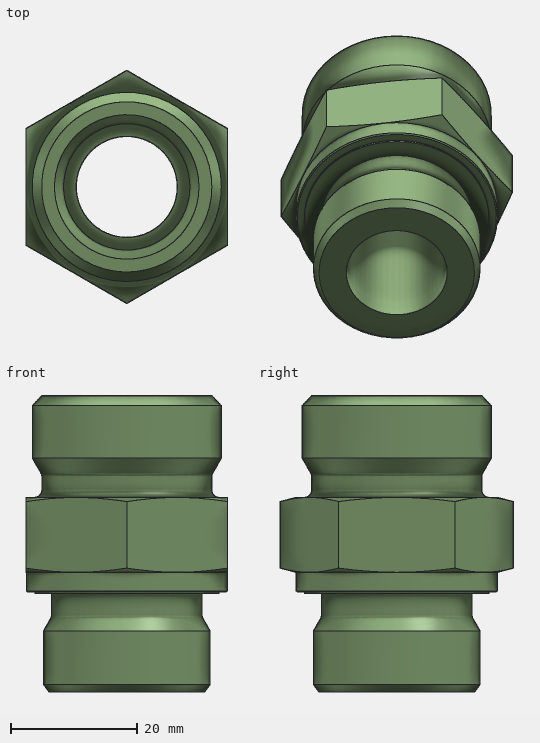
import cadquery as cq
import math

total_height = 47.0
hex_bottom = 19.0
hex_top = 30.9
collar_bottom = 15.9

hex_across_flats = 32.0
hex_chamfer_angle = 15.0
collar_diameter = 31.9
collar_chamfer = 0.2

tube_end_diameter = 30.0
tube_groove_diameter = 27.0
tube_end_chamfer_height = 1.6
tube_thread_bottom = 37.1
hex_fillet_radius = 1.18

stud_diameter = 26.4
stud_neck_diameter = 23.9
stud_tip_diameter = 24.65
stud_chamfer_height = 1.2
stud_thread_top = 9.75

runout_angle = 30.0
runout_blend_radius = 1.0

socket_diameter = 20.0
socket_depth = 10.55
cone_depth = 6.75
cone_half_angle = 12.0
bore_diameter = 16.0

seal_outer_diameter = 29.2
seal_inner_diameter = stud_neck_diameter
seal_thickness = 2.0
seal_protrusion = 0.3
recess_diameter = 29.3
seal_bottom = collar_bottom - seal_protrusion
seal_top = seal_bottom + seal_thickness


def cylinder(diameter, bottom, top):
    return cq.Workplane("XY").workplane(offset=bottom).circle(diameter / 2).extrude(top - bottom)


def threaded_end(groove_z, thread_z, chamfer_z, tip_z, thread_diameter, groove_diameter, tip_diameter):
    """Revolve a groove, blended run-out, thread cylinder and chamfered tip; groove_z is the root end."""
    direction = math.copysign(1, tip_z - groove_z)
    angle = math.radians(runout_angle)
    groove_radius = groove_diameter / 2
    thread_radius = thread_diameter / 2

    def blend_radius_at(turn):
        return groove_radius + runout_blend_radius * (1 - math.cos(turn))

    cone_start_radius = blend_radius_at(angle)
    cone_start_z = thread_z - direction * (thread_radius - cone_start_radius) / math.tan(angle)
    blend_start_z = cone_start_z - direction * runout_blend_radius * math.sin(angle)
    blend_middle_z = blend_start_z + direction * runout_blend_radius * math.sin(angle / 2)
    return (
        cq.Workplane("XZ")
        .moveTo(0, groove_z)
        .lineTo(groove_radius, groove_z)
        .lineTo(groove_radius, blend_start_z)
        .threePointArc((blend_radius_at(angle / 2), blend_middle_z), (cone_start_radius, cone_start_z))
        .lineTo(thread_radius, thread_z)
        .lineTo(thread_radius, chamfer_z)
        .lineTo(tip_diameter / 2, tip_z)
        .lineTo(0, tip_z)
        .close()
        .revolve(360, (0, 0), (0, 1))
    )


def chamfered_hexagon():
    """Hexagon with flats facing X, its corners turned down by cones at both ends."""
    corner_radius = hex_across_flats / 2 / math.cos(math.pi / 6)
    face_radius = collar_diameter / 2
    drop = (corner_radius - face_radius) * math.tan(math.radians(hex_chamfer_angle))
    prism = (
        cq.Workplane("XY")
        .workplane(offset=hex_bottom)
        .polygon(6, 2 * corner_radius)
        .extrude(hex_top - hex_bottom)
        .rotate((0, 0, 0), (0, 0, 1), 30)
    )
    turned_envelope = (
        cq.Workplane("XZ")
        .moveTo(0, hex_bottom)
        .lineTo(face_radius, hex_bottom)
        .lineTo(corner_radius, hex_bottom + drop)
        .lineTo(corner_radius, hex_top - drop)
        .lineTo(face_radius, hex_top)
        .lineTo(0, hex_top)
        .close()
        .revolve(360, (0, 0), (0, 1))
    )
    return prism.intersect(turned_envelope)


def hexagon_fillet():
    """Concave flare joining the upper groove to the top of the hexagon."""
    inner_radius = tube_groove_diameter / 2
    outer_radius = inner_radius + hex_fillet_radius
    flare_top = hex_top + hex_fillet_radius
    arc_inset = hex_fillet_radius * math.cos(math.pi / 4)
    return (
        cq.Workplane("XZ")
        .moveTo(0, hex_top)
        .lineTo(outer_radius, hex_top)
        .threePointArc((outer_radius - arc_inset, flare_top - arc_inset), (inner_radius, flare_top))
        .lineTo(0, flare_top)
        .close()
        .revolve(360, (0, 0), (0, 1))
    )


def collar():
    """Round collar with an open recess for the seal ring in its underside."""
    body = cylinder(collar_diameter, collar_bottom, hex_bottom).faces("<Z").edges().chamfer(collar_chamfer)
    return body.cut(cylinder(recess_diameter, collar_bottom, seal_top))


def internal_passage():
    """Conical tube socket, its cylindrical seat and the through bore."""
    socket_radius = socket_diameter / 2
    bore_radius = bore_diameter / 2
    rim_radius = socket_radius + cone_depth * math.tan(math.radians(cone_half_angle))
    socket_bottom = total_height - socket_depth
    return (
        cq.Workplane("XZ")
        .moveTo(0, 0)
        .lineTo(bore_radius, 0)
        .lineTo(bore_radius, socket_bottom)
        .lineTo(socket_radius, socket_bottom)
        .lineTo(socket_radius, total_height - cone_depth)
        .lineTo(rim_radius, total_height)
        .lineTo(0, total_height)
        .close()
        .revolve(360, (0, 0), (0, 1))
    )


def make_fitting():
    tube_end = threaded_end(
        hex_top, tube_thread_bottom, total_height - tube_end_chamfer_height, total_height,
        tube_end_diameter, tube_groove_diameter, tube_groove_diameter,
    )
    stud_end = threaded_end(
        hex_bottom, stud_thread_top, stud_chamfer_height, 0,
        stud_diameter, stud_neck_diameter, stud_tip_diameter,
    )
    outside = chamfered_hexagon().union(collar()).union(hexagon_fillet()).union(tube_end).union(stud_end)
    return outside.cut(internal_passage())


def make_seal_ring():
    ring = cylinder(seal_outer_diameter, seal_bottom, seal_top)
    return ring.cut(cylinder(seal_inner_diameter, seal_bottom, seal_top))


fitting = make_fitting()
seal_ring = make_seal_ring()

result = cq.Compound.makeCompound([fitting.val(), seal_ring.val()])